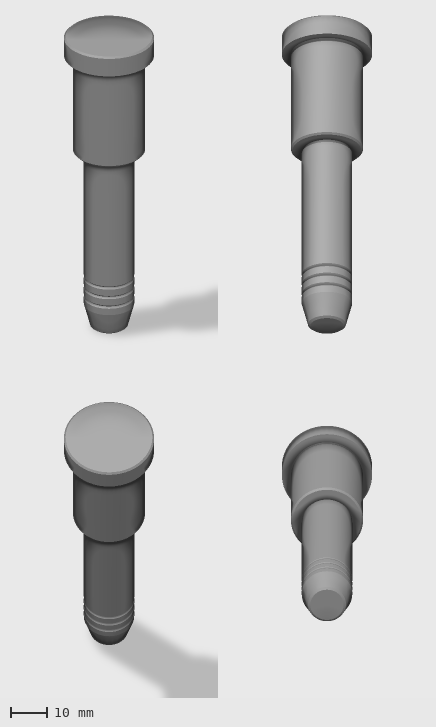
import cadquery as cq
import math

total_length = 91.0
head_diameter = 25.0
head_height = 6.0
body_diameter = 20.0
body_length = 30.0
shank_diameter = 14.0

edge_chamfer = 0.5
groove_depth = 0.5
groove_width = 2 * groove_depth

ring_groove_count = 3
ring_groove_pitch = 3.0
first_ring_groove_top = 16.0

tip_length = 7.0
tip_half_angle = 15.0

head_bottom = total_length - head_height
body_bottom = head_bottom - body_length
tip_end_diameter = shank_diameter - 2 * tip_length * math.tan(math.radians(tip_half_angle))


def cylinder(diameter, bottom, top):
    return cq.Workplane("XY").workplane(offset=bottom).circle(diameter / 2).extrude(top - bottom)


def v_groove(diameter, top):
    """Ring-shaped cutter that leaves a V groove in a cylinder of the given diameter."""
    radius = diameter / 2
    return (
        cq.Workplane("XZ")
        .moveTo(radius, top)
        .lineTo(radius - groove_depth, top - groove_width / 2)
        .lineTo(radius, top - groove_width)
        .close()
        .revolve(360, (0, 0, 0), (0, 1, 0))
    )


def tapered_tip():
    return (
        cq.Workplane("XY")
        .circle(tip_end_diameter / 2)
        .workplane(offset=tip_length)
        .circle(shank_diameter / 2)
        .loft(ruled=True)
        .faces("<Z")
        .chamfer(edge_chamfer)
    )


head = cylinder(head_diameter, head_bottom, total_length).faces(">Z").chamfer(edge_chamfer)

body = cylinder(body_diameter, body_bottom, head_bottom).faces("<Z").chamfer(edge_chamfer)
body = body.cut(v_groove(body_diameter, head_bottom))

neck_bottom = body_bottom - groove_width
neck = cylinder(shank_diameter - 2 * groove_depth, neck_bottom, body_bottom)

shank = cylinder(shank_diameter, tip_length, neck_bottom)
for index in range(ring_groove_count):
    groove_top = first_ring_groove_top - index * ring_groove_pitch
    shank = shank.cut(v_groove(shank_diameter, groove_top))

result = head.union(body).union(neck).union(shank).union(tapered_tip())